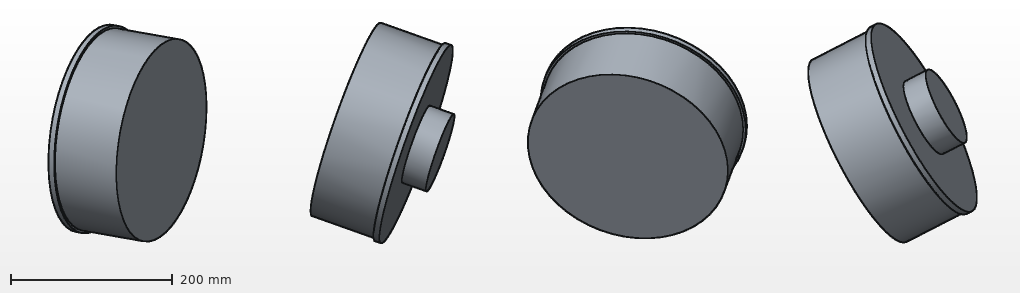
import cadquery as cq

overall_length = 123.83
flange_diameter = 260.35

boss_diameter = 101.6
boss_length = 31.75
flange_thickness = 7.94
drum_diameter = 254.0
drum_length = overall_length - boss_length - flange_thickness


def disc(start_x, length, diameter):
    """Solid cylinder centred on the X axis, running toward +X from start_x."""
    return cq.Workplane("YZ", origin=(start_x, 0, 0)).circle(diameter / 2).extrude(length)


boss = disc(-boss_length, boss_length, boss_diameter)
flange = disc(0, flange_thickness, flange_diameter)
drum = disc(flange_thickness, drum_length, drum_diameter)

result = boss.union(flange).union(drum)